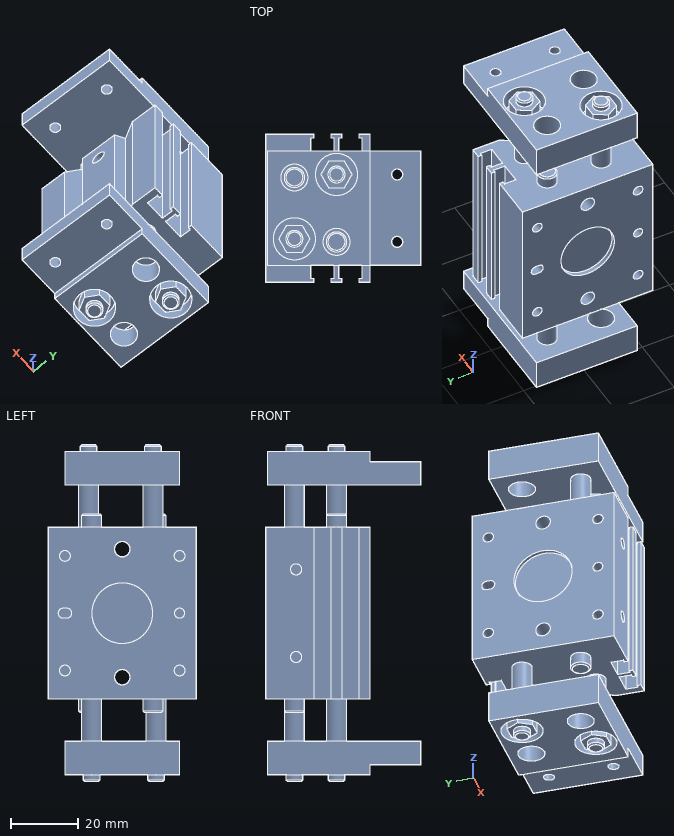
import cadquery as cq
import math


HOUSING_X = 31.0
HOUSING_Y = 44.0
HOUSING_Z = 51.0

SLOT_CENTRES_X = (16.8, 25.1)
SLOT_MOUTH = 5.0
SLOT_WIDTH = 6.8
SLOT_LIP = 1.2
SLOT_DEPTH = 5.0

GROOVE_BOTTOM_Y = 8.0
GROOVE_DEPTH = 3.0
GROOVE_STEEP_ANGLE = math.radians(60)
GROOVE_SHALLOW_ANGLE = math.radians(30)

RECESS_DIAMETER = 18.0
RECESS_DEPTH = 1.5
THROUGH_DIAMETER = 4.5
THROUGH_Z = 19.0
MOUNT_PITCH = 34.0
MOUNT_DIAMETER = 3.2
DOWEL_DIAMETER = 3.0
DOWEL_SLOT_LENGTH = 4.0
MOUNT_DEPTH = 5.0

PORT_DIAMETER = 3.3
PORT_X = 9.0
PORT_PITCH_Z = 26.0
PORT_DEPTH = 5.0

ROD_PLACES = ((8.5, -9.1), (21.0, 10.0))
ROD_DIAMETER = 6.0
ROD_CHAMFER = 0.5
ROD_END_Z = 29.5

PLATE_START_X = 0.5
PLATE_END_X = 46.0
PLATE_Y = 34.0
PLATE_INNER_Z = 38.0
PLATE_THICKNESS = 10.0
LUG_THICKNESS = 7.0
LUG_HOLE_DIAMETER = 3.2
LUG_HOLE_X = 39.0
LUG_HOLE_PITCH = 20.0
CLEARANCE_DIAMETER = 8.0

COUNTERBORE_DIAMETER = 12.5
COUNTERBORE_DEPTH = 6.0
NUT_FLATS = 8.0
STUD_DIAMETER = 5.0
STUD_HEIGHT = 2.0
STUD_CHAMFER = 0.5

HALF_Y = HOUSING_Y / 2
HALF_Z = HOUSING_Z / 2
PLATE_OUTER_Z = PLATE_INNER_Z + PLATE_THICKNESS


def turned_over(body):
    """Rotate a body half a turn about the X axis."""
    return body.rotate((0, 0, 0), (1, 0, 0), 180)


def cylinder_z(diameter, x, y, bottom, top):
    return cq.Workplane("XY", origin=(x, y, bottom)).circle(diameter / 2).extrude(top - bottom)


def box_between(x_range, y_range, z_range):
    lows, highs = zip(x_range, y_range, z_range)
    sizes = [high - low for low, high in zip(lows, highs)]
    return cq.Workplane("XY").box(*sizes, centered=False).translate(lows)


def t_slot(centre_x):
    """T-slot in the -Y side: a narrow mouth between lips and a wider channel behind."""
    z_range = (-HALF_Z, HALF_Z)
    floor_y = -HALF_Y + SLOT_DEPTH
    mouth_x = (centre_x - SLOT_MOUTH / 2, centre_x + SLOT_MOUTH / 2)
    channel_x = (centre_x - SLOT_WIDTH / 2, centre_x + SLOT_WIDTH / 2)
    mouth = box_between(mouth_x, (-HALF_Y, floor_y), z_range)
    channel = box_between(channel_x, (-HALF_Y + SLOT_LIP, floor_y), z_range)
    return mouth.union(channel)


def v_groove():
    """V-groove in the +X face, on the -Y side of the middle."""
    inner_y = GROOVE_BOTTOM_Y - GROOVE_DEPTH / math.tan(GROOVE_STEEP_ANGLE)
    outer_y = GROOVE_BOTTOM_Y + GROOVE_DEPTH / math.tan(GROOVE_SHALLOW_ANGLE)
    outline = [
        (HOUSING_X, -inner_y),
        (HOUSING_X - GROOVE_DEPTH, -GROOVE_BOTTOM_Y),
        (HOUSING_X, -outer_y),
    ]
    return cq.Workplane("XY", origin=(0, 0, -HALF_Z)).polyline(outline).close().extrude(HOUSING_Z)


def mounting_face_holes():
    """Recess, through holes, tapped holes, dowel hole and dowel slot, all along X."""
    face = cq.Workplane("YZ")
    side = MOUNT_PITCH / 2
    recess = face.circle(RECESS_DIAMETER / 2).extrude(RECESS_DEPTH)
    through = face.pushPoints([(0, -THROUGH_Z), (0, THROUGH_Z)])
    through = through.circle(THROUGH_DIAMETER / 2).extrude(HOUSING_X)
    tapped = face.rect(MOUNT_PITCH, MOUNT_PITCH, forConstruction=True).vertices()
    tapped = tapped.circle(MOUNT_DIAMETER / 2).extrude(MOUNT_DEPTH)
    dowel_hole = face.center(-side, 0).circle(DOWEL_DIAMETER / 2).extrude(MOUNT_DEPTH)
    dowel_slot = face.center(side, 0).slot2D(DOWEL_SLOT_LENGTH, DOWEL_DIAMETER).extrude(MOUNT_DEPTH)
    return [recess, through, tapped, dowel_hole, dowel_slot]


def port(z):
    """Blind port hole in the -Y side."""
    return cq.Workplane("XZ", origin=(PORT_X, -HALF_Y, z)).circle(PORT_DIAMETER / 2).extrude(-PORT_DEPTH)


def make_housing():
    housing = box_between((0, HOUSING_X), (-HALF_Y, HALF_Y), (-HALF_Z, HALF_Z))
    for profile_cut in [t_slot(x) for x in SLOT_CENTRES_X] + [v_groove()]:
        housing = housing.cut(profile_cut).cut(turned_over(profile_cut))
    for hole in mounting_face_holes():
        housing = housing.cut(hole)
    for z in (-PORT_PITCH_Z / 2, PORT_PITCH_Z / 2):
        housing = housing.cut(port(z))
    for x, y in ROD_PLACES:
        bore = cylinder_z(ROD_DIAMETER, x, y, -HALF_Z, HALF_Z)
        housing = housing.cut(bore).cut(turned_over(bore))
    return housing


def make_plate():
    """Stepped plate with lug holes and clearance holes for the other unit's rods."""
    y_range = (-PLATE_Y / 2, PLATE_Y / 2)
    lug_top = PLATE_INNER_Z + LUG_THICKNESS
    plate = box_between((PLATE_START_X, HOUSING_X), y_range, (PLATE_INNER_Z, PLATE_OUTER_Z))
    plate = plate.union(box_between((HOUSING_X, PLATE_END_X), y_range, (PLATE_INNER_Z, lug_top)))
    for y in (-LUG_HOLE_PITCH / 2, LUG_HOLE_PITCH / 2):
        plate = plate.cut(cylinder_z(LUG_HOLE_DIAMETER, LUG_HOLE_X, y, PLATE_INNER_Z, lug_top))
    counterbore_floor = PLATE_OUTER_Z - COUNTERBORE_DEPTH
    for x, y in ROD_PLACES:
        plate = plate.cut(cylinder_z(CLEARANCE_DIAMETER, x, -y, PLATE_INNER_Z, PLATE_OUTER_Z))
        plate = plate.cut(cylinder_z(COUNTERBORE_DIAMETER, x, y, counterbore_floor, PLATE_OUTER_Z))
    return plate


def make_rod(x, y):
    """Chamfered rod with the nut and the stud end that clamp it in the plate."""
    nut_bottom = PLATE_OUTER_Z - COUNTERBORE_DEPTH
    rod = cylinder_z(ROD_DIAMETER, x, y, -ROD_END_Z, nut_bottom).faces("<Z").chamfer(ROD_CHAMFER)
    nut = cq.Workplane("XY", origin=(x, y, nut_bottom))
    nut = nut.polygon(6, NUT_FLATS / math.cos(math.pi / 6)).extrude(COUNTERBORE_DEPTH)
    stud = cylinder_z(STUD_DIAMETER, x, y, nut_bottom, PLATE_OUTER_Z + STUD_HEIGHT)
    stud = stud.faces(">Z").chamfer(STUD_CHAMFER)
    return rod.union(nut).union(stud)


def make_end_unit():
    unit = make_plate()
    for x, y in ROD_PLACES:
        unit = unit.union(make_rod(x, y))
    return unit


housing = make_housing()
top_end_unit = make_end_unit()
bottom_end_unit = turned_over(make_end_unit())

result = cq.Compound.makeCompound([housing.val(), top_end_unit.val(), bottom_end_unit.val()])